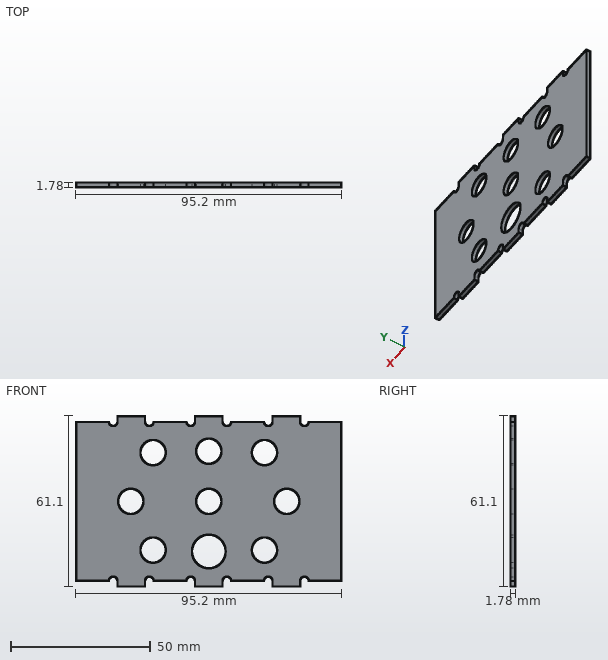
import cadquery as cq

PLATE_WIDTH = 95.25
BODY_HEIGHT = 57.15
THICKNESS = 1.78

TAB_WIDTH = 10.0
TAB_LENGTH = 2.0
TAB_PITCH = 27.84
NOTCH_DIAMETER = 3.0

HOLE_DIAMETER = 9.0
LARGE_HOLE_DIAMETER = 12.0
CORNER_HOLE_X = 20.0
CORNER_HOLE_Z = 17.5
SIDE_HOLE_X = 28.0
MIDDLE_HOLE_Z = 18.0

edge_z = BODY_HEIGHT / 2
tab_centers = [-TAB_PITCH, 0, TAB_PITCH]
notch_offset = (TAB_WIDTH + NOTCH_DIAMETER) / 2


def back_sketch():
    """Workplane on the +Y face, local axes along X and Z; it extrudes toward -Y."""
    return cq.Workplane("XZ", origin=(0, THICKNESS / 2, 0))


def through_cylinders(points, diameter):
    """Cylinders through the full plate thickness at the given (x, z) points."""
    return back_sketch().pushPoints(points).circle(diameter / 2).extrude(THICKNESS)


def plate_with_tabs():
    """Rectangular body joined to strips that run through it and form opposite tabs."""
    body = back_sketch().rect(PLATE_WIDTH, BODY_HEIGHT).extrude(THICKNESS)
    tab_strips = (
        back_sketch()
        .pushPoints([(x, 0) for x in tab_centers])
        .rect(TAB_WIDTH, BODY_HEIGHT + 2 * TAB_LENGTH)
        .extrude(THICKNESS)
    )
    return body.union(tab_strips)


def relief_notches():
    """Half-round notches centred on the body edges, tangent to the tab sides."""
    points = [
        (x + side * notch_offset, z)
        for x in tab_centers
        for side in (-1, 1)
        for z in (-edge_z, edge_z)
    ]
    return through_cylinders(points, NOTCH_DIAMETER)


def small_holes():
    """Four corner holes, two side holes, one central hole and one upper middle hole."""
    corners = [(x, z) for x in (-CORNER_HOLE_X, CORNER_HOLE_X) for z in (-CORNER_HOLE_Z, CORNER_HOLE_Z)]
    center_row = [(-SIDE_HOLE_X, 0), (0, 0), (SIDE_HOLE_X, 0)]
    upper_middle = [(0, MIDDLE_HOLE_Z)]
    return through_cylinders(corners + center_row + upper_middle, HOLE_DIAMETER)


def large_hole():
    """Larger hole at the lower middle of the plate."""
    return through_cylinders([(0, -MIDDLE_HOLE_Z)], LARGE_HOLE_DIAMETER)


result = plate_with_tabs().cut(relief_notches()).cut(small_holes()).cut(large_hole())